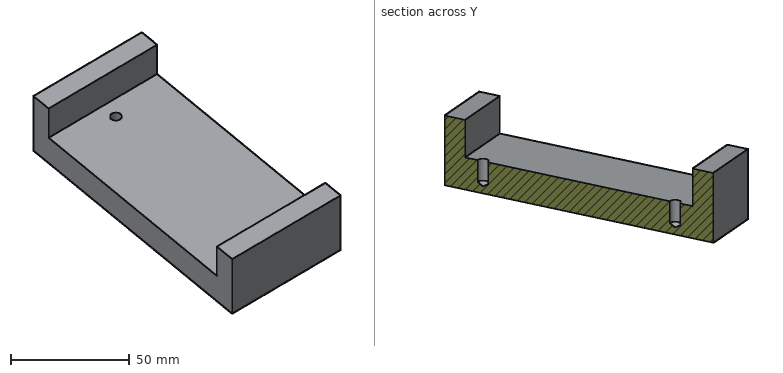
import cadquery as cq
import math

length = 130.0
width = 60.0
height = 32.1

wall_thickness = 10.0
floor_thickness = 15.0
channel_length = length - 2 * wall_thickness
channel_depth = height - floor_thickness

hole_diameter = 5.0
hole_spacing = 93.0
hole_depth = 10.0
drill_tip_angle = 118.0


def drilled_hole(x):
    """Blind hole with a conical tip, drilled down from the channel floor at (x, 0)."""
    radius = hole_diameter / 2
    tip_depth = radius / math.tan(math.radians(drill_tip_angle / 2))
    shoulder_z = floor_thickness - hole_depth
    half_profile = (
        cq.Workplane("XZ")
        .moveTo(0, floor_thickness)
        .lineTo(radius, floor_thickness)
        .lineTo(radius, shoulder_z)
        .lineTo(0, shoulder_z - tip_depth)
        .close()
    )
    return half_profile.revolve(360, (0, 0), (0, 1)).translate((x, 0, 0))


block = cq.Workplane("XY").box(length, width, height, centered=(True, True, False))

channel = (
    cq.Workplane("XY", origin=(0, 0, floor_thickness))
    .box(channel_length, width, channel_depth, centered=(True, True, False))
)

result = block.cut(channel)
for hole_x in (-hole_spacing / 2, hole_spacing / 2):
    result = result.cut(drilled_hole(hole_x))